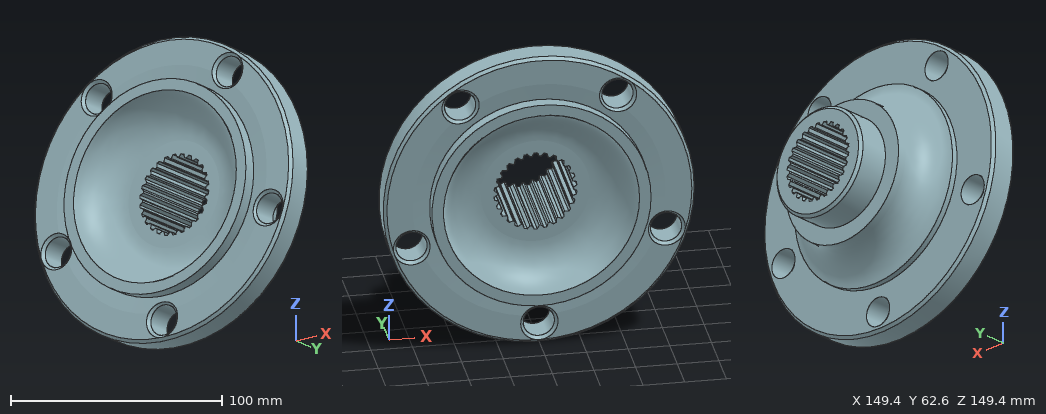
import cadquery as cq
import math


flange_radius = 74.7
flange_front = 5.8
flange_thickness = 15.0
flange_back = flange_front + flange_thickness
edge_chamfer = 1.5

pilot_radius = 52.6
recess_radius = 60.7
recess_depth = 0.6

shoulder_radius = 51.0
shoulder_back = 23.9
neck_radius = 36.3
neck_sweep_end = 40.5
neck_back = 45.5
hub_radius = 27.8
overall_length = 62.6

bowl_radius = 47.0
bowl_floor_radius = 26.3
bowl_depth = 15.8

bolt_count = 5
bolt_circle_radius = 64.2
bolt_hole_diameter = 15.0

spline_count = 26
spline_minor_radius = 18.2
spline_major_radius = 19.9
groove_mouth_width = 3.5
groove_root_width = 1.5


def tangent_arc_radius(tangent_run, tangent_offset):
    """Radius of an arc that leaves a line tangentially, advancing and departing by the given distances."""
    return (tangent_run**2 + tangent_offset**2) / (2 * tangent_offset)


def arc_midpoint(center, start, end):
    """Point halfway along the shorter arc from start to end about center."""
    radius = math.dist(center, start)
    toward = (start[0] + end[0] - 2 * center[0], start[1] + end[1] - 2 * center[1])
    scale = radius / math.hypot(*toward)
    return (center[0] + toward[0] * scale, center[1] + toward[1] * scale)


def make_body():
    """Revolve the half section, drawn with X as radius and Y along the axis."""
    bowl_rim = (bowl_radius, 0)
    bowl_foot = (bowl_floor_radius, bowl_depth)
    bowl_arc_radius = tangent_arc_radius(bowl_radius - bowl_floor_radius, bowl_depth)
    bowl_center = (bowl_floor_radius, bowl_depth - bowl_arc_radius)

    sweep_start = (shoulder_radius, shoulder_back)
    sweep_end = (neck_radius, neck_sweep_end)
    sweep_arc_radius = tangent_arc_radius(neck_sweep_end - shoulder_back, shoulder_radius - neck_radius)
    sweep_center = (neck_radius + sweep_arc_radius, neck_sweep_end)

    section = (
        cq.Workplane("XY")
        .moveTo(0, bowl_depth)
        .lineTo(*bowl_foot)
        .threePointArc(arc_midpoint(bowl_center, bowl_foot, bowl_rim), bowl_rim)
        .lineTo(pilot_radius, 0)
        .lineTo(pilot_radius, flange_front + recess_depth)
        .lineTo(recess_radius, flange_front)
        .lineTo(flange_radius - edge_chamfer, flange_front)
        .lineTo(flange_radius, flange_front + edge_chamfer)
        .lineTo(flange_radius, flange_back - edge_chamfer)
        .lineTo(flange_radius - edge_chamfer, flange_back)
        .lineTo(shoulder_radius, flange_back)
        .lineTo(*sweep_start)
        .threePointArc(arc_midpoint(sweep_center, sweep_start, sweep_end), sweep_end)
        .lineTo(neck_radius, neck_back)
        .lineTo(hub_radius, neck_back)
        .lineTo(hub_radius, overall_length - edge_chamfer)
        .lineTo(hub_radius - edge_chamfer, overall_length)
        .lineTo(0, overall_length)
        .close()
    )
    return section.revolve(360, (0, 0, 0), (0, 1, 0))


def make_bolt_holes():
    """Five chamfered through holes, the first one straight below the axis."""
    hole_radius = bolt_hole_diameter / 2
    mouth_radius = hole_radius + edge_chamfer
    hole = (
        cq.Workplane("XY")
        .lineTo(mouth_radius, 0)
        .lineTo(mouth_radius, flange_front)
        .lineTo(hole_radius, flange_front + edge_chamfer)
        .lineTo(hole_radius, flange_back)
        .lineTo(0, flange_back)
        .close()
        .revolve(360, (0, 0, 0), (0, 1, 0))
        .translate((0, 0, -bolt_circle_radius))
    )
    holes = cq.Workplane("XY")
    for index in range(bolt_count):
        holes = holes.add(hole.rotate((0, 0, 0), (0, 1, 0), index * 360 / bolt_count))
    return holes.combine()


def make_splined_bore():
    """Bore outline with one tapered groove per pitch, the first one straight up, cut along the whole axis."""
    mouth_half_angle = math.asin(groove_mouth_width / 2 / spline_minor_radius)
    root_half_angle = math.asin(groove_root_width / 2 / spline_major_radius)
    outline = []
    for index in range(spline_count):
        middle = math.pi / 2 + index * 2 * math.pi / spline_count
        corners = [
            (spline_minor_radius, middle - mouth_half_angle),
            (spline_major_radius, middle - root_half_angle),
            (spline_major_radius, middle + root_half_angle),
            (spline_minor_radius, middle + mouth_half_angle),
        ]
        outline += [(radius * math.cos(angle), radius * math.sin(angle)) for radius, angle in corners]
    return cq.Workplane("XZ").polyline(outline).close().extrude(-overall_length)


result = make_body().cut(make_bolt_holes()).cut(make_splined_bore())